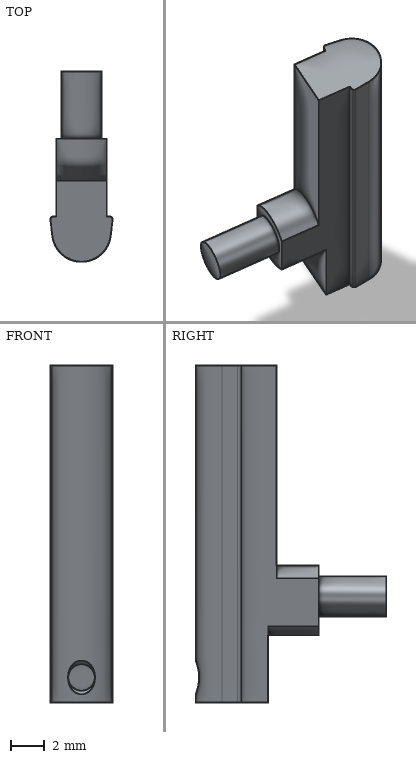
import cadquery as cq
import math

bar_length = 20.0
stem_width = 3.0
head_width = 3.7
head_depth = 2.7
nose_radius = 1.75
shoulder_radius = 0.2
upper_back = 4.8
lower_back = 4.3

axis_height = 6.3
boss_face = 7.3
boss_top_radius = 1.85
boss_bottom_radius = 2.31
pin_diameter = 2.4
pin_length = 4.0

dimple_height = 1.5
dimple_mouth_diameter = 2.0
dimple_floor_diameter = 1.57
dimple_depth = (dimple_mouth_diameter - dimple_floor_diameter) / 2


def point_on_circle(center, radius, angle):
    """Point on a circle, with the angle in radians measured from +X."""
    return (center[0] + radius * math.cos(angle), center[1] + radius * math.sin(angle))


def mirrored(point):
    return (-point[0], point[1])


def make_bar():
    """Stem and head; each head side is tangent to both the nose and the shoulder."""
    half_stem = stem_width / 2
    nose_center = (0, nose_radius)
    shoulder_center = (head_width / 2 - shoulder_radius, head_depth - shoulder_radius)

    center_dx = shoulder_center[0] - nose_center[0]
    center_dy = shoulder_center[1] - nose_center[1]
    center_distance = math.hypot(center_dx, center_dy)
    center_angle = math.atan2(center_dy, center_dx)
    side_angle = center_angle - math.acos((nose_radius - shoulder_radius) / center_distance)

    nose_end = point_on_circle(nose_center, nose_radius, side_angle)
    shoulder_start = point_on_circle(shoulder_center, shoulder_radius, side_angle)
    shoulder_middle = point_on_circle(shoulder_center, shoulder_radius, (side_angle + math.pi / 2) / 2)
    shoulder_end = (shoulder_center[0], head_depth)

    bar = (
        cq.Workplane("XY")
        .moveTo(half_stem, upper_back)
        .lineTo(half_stem, head_depth)
        .lineTo(*shoulder_end)
        .threePointArc(shoulder_middle, shoulder_start)
        .lineTo(*nose_end)
        .threePointArc((0, 0), mirrored(nose_end))
        .lineTo(*mirrored(shoulder_start))
        .threePointArc(mirrored(shoulder_middle), mirrored(shoulder_end))
        .lineTo(-half_stem, head_depth)
        .lineTo(-half_stem, upper_back)
        .close()
        .extrude(bar_length)
    )
    back_relief = cq.Workplane("XY").box(
        stem_width, upper_back - lower_back, axis_height, centered=(True, False, False)
    ).translate((0, lower_back, 0))
    return bar.cut(back_relief)


def make_boss():
    """Flat-sided boss with arcs above and below, both centered on the pin axis."""
    half_width = stem_width / 2
    top_corner = axis_height + math.sqrt(boss_top_radius**2 - half_width**2)
    bottom_corner = axis_height - math.sqrt(boss_bottom_radius**2 - half_width**2)
    return (
        cq.Workplane("XZ", origin=(0, lower_back, 0))
        .moveTo(-half_width, bottom_corner)
        .lineTo(-half_width, top_corner)
        .threePointArc((0, axis_height + boss_top_radius), (half_width, top_corner))
        .lineTo(half_width, bottom_corner)
        .threePointArc((0, axis_height - boss_bottom_radius), (-half_width, bottom_corner))
        .close()
        .extrude(lower_back - boss_face)
    )


def make_pin():
    return (
        cq.Workplane("XZ", origin=(0, boss_face, axis_height))
        .circle(pin_diameter / 2)
        .extrude(-pin_length)
    )


def make_dimple():
    """Truncated cone, widest at the nose tip and narrowing to a flat floor."""
    cone = cq.Solid.makeCone(
        dimple_mouth_diameter / 2,
        dimple_floor_diameter / 2,
        dimple_depth,
        pnt=cq.Vector(0, 0, dimple_height),
        dir=cq.Vector(0, 1, 0),
    )
    return cq.Workplane(obj=cone)


result = make_bar().union(make_boss()).union(make_pin()).cut(make_dimple())